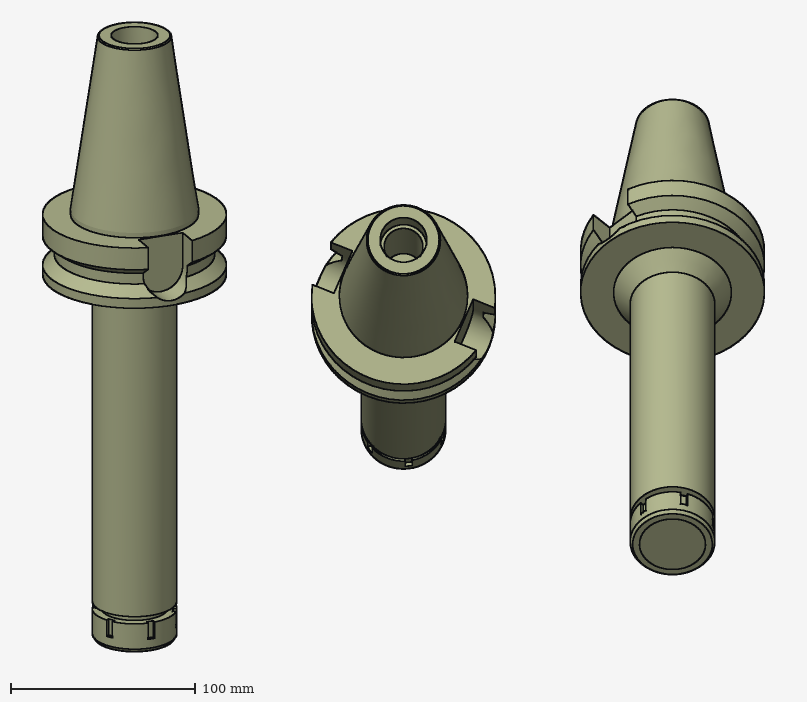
import cadquery as cq

total_length = 351.8
taper_length = 101.5
taper_shoulder = 2.8
flange_height = 35.2
neck_cone_height = 10.2
nut_height = 17.0
nut_gap = 4.2

gauge_radius = 35.0
taper_slope = 7 / 48
taper_edge_chamfer = 0.7

flange_radius = 50.0
groove_radius = 43.5
upper_rim_height = 12.5
groove_floor_height = 6.5
groove_upper_slope_height = 4.5
lower_rim_height = 5.5

drive_slot_width = 26.0
drive_slot_depth = 32.5
drive_slot_floor = 35.5

pilot_radius = 12.5
pilot_depth = 13.0
thread_radius = 10.5
thread_depth = 59.8

shank_diameter = 46.0
shank_radius = shank_diameter / 2
neck_cone_radius = 32.0
spigot_radius = 18.0
nut_radius = shank_radius
nut_chamfer_height = 2.0
nut_chamfer_width = 1.5
wrench_slot_count = 6
wrench_slot_width = 4.0
wrench_slot_height = 9.5
wrench_slot_depth = 2.0

gauge_z = total_length - taper_length
flange_top_z = gauge_z - taper_shoulder
flange_bottom_z = flange_top_z - flange_height
shank_top_z = flange_bottom_z - neck_cone_height
shank_bottom_z = nut_height + nut_gap
groove_top_z = flange_top_z - upper_rim_height
groove_floor_top_z = groove_top_z - groove_upper_slope_height
groove_floor_bottom_z = groove_floor_top_z - groove_floor_height
groove_bottom_z = flange_bottom_z + lower_rim_height
small_end_radius = gauge_radius - taper_slope * taper_length


def revolve_profile(points):
    """Turn a closed (radius, Z) outline about the Z axis."""
    return cq.Workplane("YZ").polyline(points).close().revolve(360, (0, 0), (0, 1))


def holder_blank():
    """Taper, flange, shank and spigot as one turned shape."""
    edge_radius = small_end_radius + taper_slope * taper_edge_chamfer
    return revolve_profile([
        (0, total_length),
        (small_end_radius - taper_edge_chamfer, total_length),
        (edge_radius, total_length - taper_edge_chamfer),
        (gauge_radius, gauge_z),
        (gauge_radius, flange_top_z),
        (flange_radius, flange_top_z),
        (flange_radius, groove_top_z),
        (groove_radius, groove_floor_top_z),
        (groove_radius, groove_floor_bottom_z),
        (flange_radius, groove_bottom_z),
        (flange_radius, flange_bottom_z),
        (neck_cone_radius, flange_bottom_z),
        (shank_radius, shank_top_z),
        (shank_radius, shank_bottom_z),
        (spigot_radius, shank_bottom_z),
        (spigot_radius, 0),
        (0, 0),
    ])


def drawbar_bore():
    """Pilot counterbore and the blind thread hole below it."""
    top = cq.Workplane("XY").workplane(offset=total_length)
    pilot = top.circle(pilot_radius).extrude(-pilot_depth)
    thread_hole = top.circle(thread_radius).extrude(-thread_depth)
    return pilot.union(thread_hole)


def drive_slot():
    """Round-ended slot on the +X side, open at the top and at the rim."""
    half_width = drive_slot_width / 2
    slot_bottom_z = flange_top_z - drive_slot_depth
    arc_center_z = slot_bottom_z + half_width
    return (
        cq.Workplane("YZ", origin=(drive_slot_floor, 0, 0))
        .moveTo(-half_width, flange_top_z)
        .lineTo(-half_width, arc_center_z)
        .threePointArc((0, slot_bottom_z), (half_width, arc_center_z))
        .lineTo(half_width, flange_top_z)
        .close()
        .extrude(flange_radius)
    )


def make_holder():
    holder = holder_blank().cut(drawbar_bore())
    for angle in (0, 180):
        holder = holder.cut(drive_slot().rotate((0, 0, 0), (0, 0, 1), angle))
    return holder


def wrench_slot():
    """Slot in the nut rim on the +X side, open at the top of the nut."""
    slot_floor = nut_radius - wrench_slot_depth
    return cq.Workplane("XY").box(
        nut_radius, wrench_slot_width, wrench_slot_height, centered=(False, True, False)
    ).translate((slot_floor, 0, nut_height - wrench_slot_height))


def make_nut():
    """Ring nut around the spigot, chamfered at its lower edge."""
    nut = revolve_profile([
        (spigot_radius, 0),
        (nut_radius - nut_chamfer_width, 0),
        (nut_radius, nut_chamfer_height),
        (nut_radius, nut_height),
        (spigot_radius, nut_height),
    ])
    for index in range(wrench_slot_count):
        angle = index * 360 / wrench_slot_count
        nut = nut.cut(wrench_slot().rotate((0, 0, 0), (0, 0, 1), angle))
    return nut


holder = make_holder()
nut = make_nut()

result = cq.Compound.makeCompound([holder.val(), nut.val()])